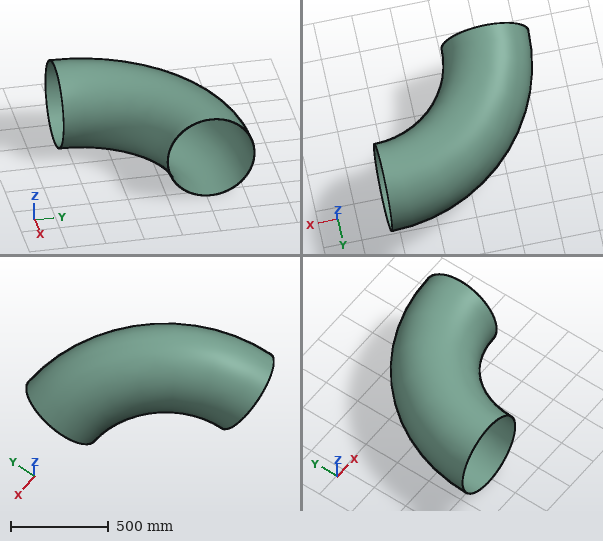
import cadquery as cq

overall_reach = 903.0
pipe_diameter = 456.0
wall_thickness = 3.0
bend_angle = 90.0

pipe_radius = pipe_diameter / 2
bore_radius = pipe_radius - wall_thickness
bend_radius = overall_reach - pipe_radius


def elbow():
    """Pipe ring in the XZ plane, swept about a vertical axis on its +X side."""
    ring = cq.Workplane("XZ").circle(pipe_radius).circle(bore_radius)
    axis_start = (bend_radius, 0)
    axis_end = (bend_radius, -1)
    return ring.revolve(bend_angle, axis_start, axis_end)


result = elbow()